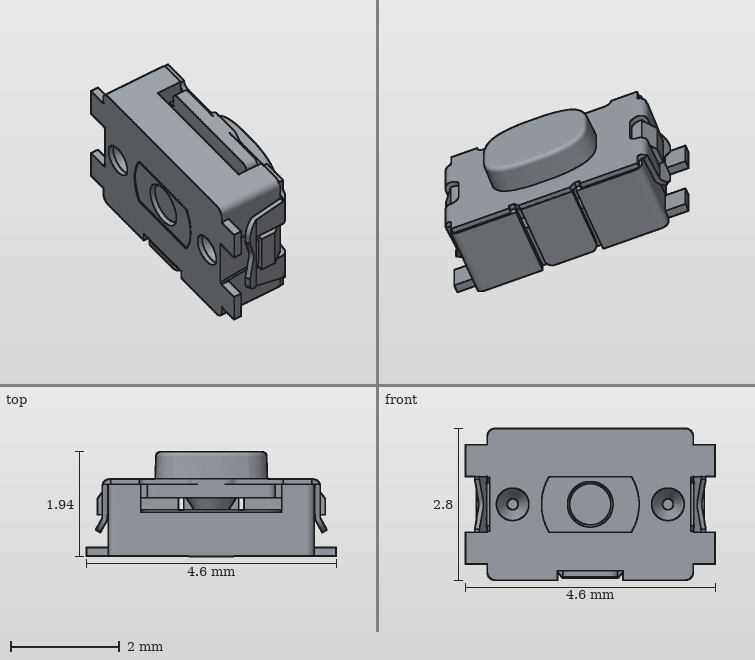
import cadquery as cq
import math


BODY_HALF_X = 1.9
BODY_HALF_Z = 1.4
BODY_DEPTH = 1.32
BODY_CORNER_RADIUS = 0.15

TERMINAL_TIP_X = 2.3
TERMINAL_INNER_Z = 0.51
TERMINAL_OUTER_Z = 1.1
TERMINAL_THICKNESS = 0.16

SIDE_RECESS_DEPTH = 0.05
SIDE_RECESS_LENGTH = 1.0
SIDE_RECESS_FRONT_Z = 0.5
SIDE_RECESS_BACK_Z = 0.4

DIMPLE_X = 1.43
DIMPLE_RADIUS = 0.3
DIMPLE_TIP_RADIUS = 0.1
DIMPLE_WALL_DEPTH = 0.1
DIMPLE_DEPTH = 0.5
PANEL_HALF_Z = 0.51
PANEL_CORNER_X = 0.76
PANEL_HALF_X = 0.9
PANEL_DEPTH = 0.02
GATE_RADIUS = 0.43
GATE_FLOOR_RADIUS = 0.38
GATE_DEPTH = 0.1

CAVITY_HALF_X = 1.3
CAVITY_FLOOR_Y = 0.805
NOTCH_HALF_X = 0.6
NOTCH_FLOOR_Z = -1.223
PLATFORM_Y = 0.85
PLATFORM_HALF_X = 1.28
PLATFORM_TOP_Z = 1.2
PLATFORM_CORNER_RADIUS = 0.32

PLUNGER_BOTTOM_Y = 1.07
PLUNGER_SHOULDER_Z = 1.0
PLUNGER_BAR_HALF_X = 1.18
STEM_TOP_RADIUS = 0.46
STEM_TIP_RADIUS = 0.32

SHEET = 0.1
COVER_BACK_Y = BODY_DEPTH + SHEET
COVER_HALF_X = 1.85
COVER_HALF_Z = 1.35
EDGE_RADIUS = 0.13
TONGUE_HALF_X = 0.26
EDGE_CUT_HALF_X = 1.33
HOOK_NOTCH_HALF_X = 0.7
HOOK_ROOT_Z = -1.25
HOOK_TIP_Z = -1.365
HOOK_TIP_HALF_X = 0.51
HOOK_FACE_HALF_X = 0.36
HOOK_FACE_Z = -1.335
HOOK_FRONT_Y = -0.016

CLIP_OUTER_X = 2.01
CLIP_INNER_X = CLIP_OUTER_X - SHEET
BEND_RADIUS = 0.14
CLIP_ROOT_HALF_Z = 0.98
CLIP_TIP_HALF_Z = 0.855
CLIP_TIP_Y = 0.7
ROOT_FILLET_RADIUS = 0.076
ROOT_HALF_Z = CLIP_ROOT_HALF_Z + 2 * ROOT_FILLET_RADIUS
WINDOW_HALF_Z = 0.41
WINDOW_BOTTOM_Y = 0.72
WINDOW_LEDGE_HALF_Z = 0.27
WINDOW_LEDGE_FOOT_HALF_Z = 0.37
WINDOW_INNER_X = 1.7
WINDOW_CORNER_RADIUS = 0.17
FLARE_ANGLE = 29
FLARE_LENGTH = 0.25
FLARE_LOBE_OUTER_Z = 0.62
FLARE_LOBE_INNER_Z = 0.46
FLARE_LOBE_MIDDLE = (0.175, 0.772)
FLARE_DIP_LENGTH = 0.094
FLARE_DIP_END = (0.104, 0.07)

LATCH_X = 2.1
LATCH_HALF_Z = 0.395
LATCH_FRONT_Y = 0.76
LATCH_RAMP_Y = 1.06

BUTTON_TOP_Y = 1.922
BUTTON_HALF_X = 1.04
BUTTON_HALF_Z = 0.8
BUTTON_FLAT_X = 0.17
BUTTON_FLAT_Z = 0.185
BUTTON_ARC_TURN = 22
BUTTON_DRAFT = 2
BUTTON_EDGE_RADIUS = 0.085


def block(x_range, y_range, z_range):
    """Box given by its lower and upper limit along each axis."""
    limits = (x_range, y_range, z_range)
    sizes = [high - low for low, high in limits]
    corner = cq.Vector(*[low for low, high in limits])
    return cq.Workplane(cq.Solid.makeBox(*sizes, corner))


def cone(x, y_start, y_end, start_radius, end_radius):
    """Cone frustum along +Y at Z = 0."""
    length = y_end - y_start
    axis_start = cq.Vector(x, y_start, 0)
    return cq.Workplane(cq.Solid.makeCone(start_radius, end_radius, length, axis_start, cq.Vector(0, 1, 0)))


def face_sketch(y):
    """Sketch plane at height y: local axes are X and Z, and a negative extrusion goes toward +Y."""
    return cq.Workplane("XZ", origin=(0, y, 0))


def both_sides(shape):
    """A +X side feature together with its mirror image on the -X side."""
    return shape.union(shape.mirror("YZ"))


def make_body():
    body = block((-BODY_HALF_X, BODY_HALF_X), (0, BODY_DEPTH), (-BODY_HALF_Z, BODY_HALF_Z))
    body = body.edges("|Y").fillet(BODY_CORNER_RADIUS)
    for bottom_z in (TERMINAL_INNER_Z, -TERMINAL_OUTER_Z):
        top_z = bottom_z + TERMINAL_OUTER_Z - TERMINAL_INNER_Z
        strip = block((-TERMINAL_TIP_X, TERMINAL_TIP_X), (0, TERMINAL_THICKNESS), (bottom_z, top_z))
        body = body.union(strip)
    return body.cut(both_sides(make_side_recess()))


def make_side_recess():
    return (
        cq.Workplane("YZ", origin=(BODY_HALF_X - SIDE_RECESS_DEPTH, 0, 0))
        .moveTo(0, -SIDE_RECESS_FRONT_Z)
        .lineTo(SIDE_RECESS_LENGTH, -SIDE_RECESS_BACK_Z)
        .lineTo(SIDE_RECESS_LENGTH, SIDE_RECESS_BACK_Z)
        .lineTo(0, SIDE_RECESS_FRONT_Z)
        .close()
        .extrude(SIDE_RECESS_DEPTH)
    )


def cut_mounting_face(body):
    panel = (
        face_sketch(0)
        .moveTo(-PANEL_CORNER_X, -PANEL_HALF_Z)
        .lineTo(PANEL_CORNER_X, -PANEL_HALF_Z)
        .threePointArc((PANEL_HALF_X, 0), (PANEL_CORNER_X, PANEL_HALF_Z))
        .lineTo(-PANEL_CORNER_X, PANEL_HALF_Z)
        .threePointArc((-PANEL_HALF_X, 0), (-PANEL_CORNER_X, -PANEL_HALF_Z))
        .close()
        .extrude(-PANEL_DEPTH)
    )
    gate = cone(0, 0, GATE_DEPTH, GATE_RADIUS, GATE_FLOOR_RADIUS)
    dimple_wall = face_sketch(0).center(DIMPLE_X, 0).circle(DIMPLE_RADIUS).extrude(-DIMPLE_WALL_DEPTH)
    dimple_tip = cone(DIMPLE_X, DIMPLE_WALL_DEPTH, DIMPLE_DEPTH, DIMPLE_RADIUS, DIMPLE_TIP_RADIUS)
    dimple = dimple_wall.union(dimple_tip)
    return body.cut(panel).cut(gate).cut(both_sides(dimple))


def cut_cavity(body):
    cavity = block(
        (-CAVITY_HALF_X, CAVITY_HALF_X), (CAVITY_FLOOR_Y, BODY_DEPTH), (NOTCH_FLOOR_Z, BODY_HALF_Z)
    )
    notch = block((-NOTCH_HALF_X, NOTCH_HALF_X), (0, BODY_DEPTH), (-BODY_HALF_Z, NOTCH_FLOOR_Z))
    platform = block(
        (-PLATFORM_HALF_X, PLATFORM_HALF_X), (CAVITY_FLOOR_Y, PLATFORM_Y), (NOTCH_FLOOR_Z, PLATFORM_TOP_Z)
    )
    platform = platform.edges("|Y and >Z").fillet(PLATFORM_CORNER_RADIUS)
    return body.cut(cavity).cut(notch).union(platform)


def make_plunger():
    plate = block(
        (-CAVITY_HALF_X, CAVITY_HALF_X), (PLUNGER_BOTTOM_Y, BODY_DEPTH), (NOTCH_FLOOR_Z, PLUNGER_SHOULDER_Z)
    )
    bar = block((-PLUNGER_BAR_HALF_X, PLUNGER_BAR_HALF_X), (PLUNGER_BOTTOM_Y, BODY_DEPTH), (0, COVER_HALF_Z))
    bar = bar.edges("|Y and >Z").fillet(EDGE_RADIUS)
    stem = cone(0, PLATFORM_Y, PLUNGER_BOTTOM_Y, STEM_TIP_RADIUS, STEM_TOP_RADIUS)
    return plate.union(bar).union(stem)


def make_cover_plate():
    """Flat cover with a central tongue and a shallow rounded cutout on each side of it on the +Z edge."""
    plate = block((-COVER_HALF_X, COVER_HALF_X), (BODY_DEPTH, COVER_BACK_Y), (-COVER_HALF_Z, COVER_HALF_Z))
    floor_z = COVER_HALF_Z - EDGE_RADIUS
    run = EDGE_RADIUS
    drop = EDGE_RADIUS / 2
    shoulder_radius = (run**2 + drop**2) / (2 * drop)
    edge_cut = (
        face_sketch(BODY_DEPTH)
        .moveTo(TONGUE_HALF_X, COVER_HALF_Z)
        .radiusArc((TONGUE_HALF_X + run, COVER_HALF_Z - drop), shoulder_radius)
        .radiusArc((TONGUE_HALF_X + 2 * run, floor_z), -shoulder_radius)
        .lineTo(EDGE_CUT_HALF_X - EDGE_RADIUS, floor_z)
        .radiusArc((EDGE_CUT_HALF_X, COVER_HALF_Z), -EDGE_RADIUS)
        .close()
        .extrude(-SHEET)
    )
    hook_notch = block(
        (-HOOK_NOTCH_HALF_X, HOOK_NOTCH_HALF_X), (BODY_DEPTH, COVER_BACK_Y), (-COVER_HALF_Z, HOOK_ROOT_Z)
    )
    return plate.cut(both_sides(edge_cut)).cut(hook_notch)


def make_hook():
    """Tongue of the cover that folds down through the -Z notch to the mounting face."""
    tongue = (
        face_sketch(BODY_DEPTH)
        .moveTo(-NOTCH_HALF_X, HOOK_ROOT_Z)
        .lineTo(-HOOK_TIP_HALF_X, HOOK_TIP_Z)
        .lineTo(HOOK_TIP_HALF_X, HOOK_TIP_Z)
        .lineTo(NOTCH_HALF_X, HOOK_ROOT_Z)
        .close()
        .extrude(-SHEET)
    )
    leg = block(
        (-HOOK_TIP_HALF_X, HOOK_TIP_HALF_X), (HOOK_FRONT_Y, COVER_BACK_Y), (HOOK_FACE_Z, NOTCH_FLOOR_Z)
    )
    leg = leg.edges("|Z and <Y").fillet(HOOK_TIP_HALF_X - HOOK_FACE_HALF_X)
    return tongue.union(leg)


def make_clip():
    """Side clip on +X: bent from the cover, windowed for the latch and flared at its tip."""
    bend_center_y = COVER_BACK_Y - BEND_RADIUS
    bend_center_x = CLIP_OUTER_X - BEND_RADIUS
    inner_radius = BEND_RADIUS - SHEET
    flare_angle = math.radians(FLARE_ANGLE)
    flare_inner_corner = (
        CLIP_OUTER_X - SHEET * math.cos(flare_angle),
        CLIP_TIP_Y - SHEET * math.sin(flare_angle),
    )
    strip = (
        cq.Workplane("XY", origin=(0, 0, -ROOT_HALF_Z))
        .moveTo(WINDOW_INNER_X, BODY_DEPTH)
        .lineTo(bend_center_x, BODY_DEPTH)
        .radiusArc((CLIP_INNER_X, bend_center_y), inner_radius)
        .lineTo(CLIP_INNER_X, CLIP_TIP_Y)
        .lineTo(*flare_inner_corner)
        .lineTo(CLIP_OUTER_X, CLIP_TIP_Y)
        .lineTo(CLIP_OUTER_X, bend_center_y)
        .radiusArc((bend_center_x, COVER_BACK_Y), -BEND_RADIUS)
        .lineTo(WINDOW_INNER_X, COVER_BACK_Y)
        .close()
        .extrude(2 * ROOT_HALF_Z)
    )
    leg_outline = (
        cq.Workplane("YZ", origin=(WINDOW_INNER_X, 0, 0))
        .moveTo(flare_inner_corner[1], -CLIP_TIP_HALF_Z)
        .lineTo(CLIP_TIP_Y, -CLIP_TIP_HALF_Z)
        .lineTo(bend_center_y, -CLIP_ROOT_HALF_Z)
        .lineTo(COVER_BACK_Y, -CLIP_ROOT_HALF_Z)
        .lineTo(COVER_BACK_Y, CLIP_ROOT_HALF_Z)
        .lineTo(bend_center_y, CLIP_ROOT_HALF_Z)
        .lineTo(CLIP_TIP_Y, CLIP_TIP_HALF_Z)
        .lineTo(flare_inner_corner[1], CLIP_TIP_HALF_Z)
        .close()
        .extrude(CLIP_OUTER_X - WINDOW_INNER_X)
    )
    root = strip.intersect(make_root_outline())
    return strip.intersect(leg_outline).union(root).union(make_flare())


def make_flare():
    """Wavy tip of the +X clip, leaning outward; local x runs down the sheet and local y along Z."""
    angle = math.radians(FLARE_ANGLE)
    middle_length, middle_z = FLARE_LOBE_MIDDLE
    dip_length, dip_z = FLARE_DIP_END
    plane = cq.Plane(
        origin=(CLIP_OUTER_X, CLIP_TIP_Y, 0),
        xDir=(math.sin(angle), -math.cos(angle), 0),
        normal=(-math.cos(angle), -math.sin(angle), 0),
    )
    return (
        cq.Workplane(plane)
        .moveTo(0, CLIP_TIP_HALF_Z)
        .threePointArc(FLARE_LOBE_MIDDLE, (FLARE_LENGTH, FLARE_LOBE_OUTER_Z))
        .lineTo(FLARE_LENGTH, FLARE_LOBE_INNER_Z)
        .lineTo(*FLARE_DIP_END)
        .threePointArc((FLARE_DIP_LENGTH, 0), (dip_length, -dip_z))
        .lineTo(FLARE_LENGTH, -FLARE_LOBE_INNER_Z)
        .lineTo(FLARE_LENGTH, -FLARE_LOBE_OUTER_Z)
        .threePointArc((middle_length, -middle_z), (0, -CLIP_TIP_HALF_Z))
        .close()
        .extrude(SHEET)
    )


def make_clip_window():
    """Opening for the latch through the +X clip and into the cover plate, with a ledge under the latch."""
    window = block(
        (WINDOW_INNER_X, CLIP_OUTER_X), (WINDOW_BOTTOM_Y, COVER_BACK_Y), (-WINDOW_HALF_Z, WINDOW_HALF_Z)
    )
    ledge = (
        cq.Workplane("YZ", origin=(WINDOW_INNER_X, 0, 0))
        .moveTo(WINDOW_BOTTOM_Y, -WINDOW_LEDGE_FOOT_HALF_Z)
        .lineTo(LATCH_FRONT_Y, -WINDOW_LEDGE_HALF_Z)
        .lineTo(LATCH_FRONT_Y, WINDOW_LEDGE_HALF_Z)
        .lineTo(WINDOW_BOTTOM_Y, WINDOW_LEDGE_FOOT_HALF_Z)
        .close()
        .extrude(CLIP_OUTER_X - WINDOW_INNER_X)
    )
    return window.edges("|Y and <X").fillet(WINDOW_CORNER_RADIUS).cut(ledge)


def make_root_outline():
    """Outline above the +X bend: an S-shaped flank leads from the cover edge to each side of the clip."""
    middle_x = COVER_HALF_X + ROOT_FILLET_RADIUS
    end_x = middle_x + ROOT_FILLET_RADIUS
    middle_z = CLIP_ROOT_HALF_Z + ROOT_FILLET_RADIUS
    return (
        face_sketch(BODY_DEPTH)
        .moveTo(WINDOW_INNER_X, -ROOT_HALF_Z)
        .lineTo(COVER_HALF_X, -ROOT_HALF_Z)
        .radiusArc((middle_x, -middle_z), ROOT_FILLET_RADIUS)
        .radiusArc((end_x, -CLIP_ROOT_HALF_Z), -ROOT_FILLET_RADIUS)
        .lineTo(CLIP_OUTER_X, -CLIP_ROOT_HALF_Z)
        .lineTo(CLIP_OUTER_X, CLIP_ROOT_HALF_Z)
        .lineTo(end_x, CLIP_ROOT_HALF_Z)
        .radiusArc((middle_x, middle_z), -ROOT_FILLET_RADIUS)
        .radiusArc((COVER_HALF_X, ROOT_HALF_Z), ROOT_FILLET_RADIUS)
        .lineTo(WINDOW_INNER_X, ROOT_HALF_Z)
        .close()
        .extrude(-SHEET)
    )


def make_latch():
    """Latch on +X with a ramp that runs out at the cover."""
    return (
        cq.Workplane("XY", origin=(0, 0, -LATCH_HALF_Z))
        .moveTo(BODY_HALF_X - SIDE_RECESS_DEPTH, LATCH_FRONT_Y)
        .lineTo(LATCH_X, LATCH_FRONT_Y)
        .lineTo(LATCH_X, LATCH_RAMP_Y)
        .lineTo(BODY_HALF_X, BODY_DEPTH)
        .lineTo(BODY_HALF_X - SIDE_RECESS_DEPTH, BODY_DEPTH)
        .close()
        .extrude(2 * LATCH_HALF_Z)
    )


def make_button():
    """Drafted button whose flat sides are joined by two tangent arcs at each corner."""
    run_x = BUTTON_HALF_X - BUTTON_FLAT_X
    run_z = BUTTON_HALF_Z - BUTTON_FLAT_Z
    turn = math.radians(BUTTON_ARC_TURN)
    end_chord_angle = turn / 2 + math.pi / 4
    first_chord = run_x * math.sin(end_chord_angle) - run_z * math.cos(end_chord_angle)
    first_chord /= math.sin(math.pi / 4)
    join_x = BUTTON_FLAT_X + first_chord * math.cos(turn / 2)
    join_z = BUTTON_HALF_Z - first_chord * math.sin(turn / 2)
    button = (
        face_sketch(BODY_DEPTH)
        .moveTo(-BUTTON_HALF_X, -BUTTON_FLAT_Z)
        .lineTo(-BUTTON_HALF_X, BUTTON_FLAT_Z)
        .tangentArcPoint((-join_x, join_z), relative=False)
        .tangentArcPoint((-BUTTON_FLAT_X, BUTTON_HALF_Z), relative=False)
        .lineTo(BUTTON_FLAT_X, BUTTON_HALF_Z)
        .tangentArcPoint((join_x, join_z), relative=False)
        .tangentArcPoint((BUTTON_HALF_X, BUTTON_FLAT_Z), relative=False)
        .lineTo(BUTTON_HALF_X, -BUTTON_FLAT_Z)
        .tangentArcPoint((join_x, -join_z), relative=False)
        .tangentArcPoint((BUTTON_FLAT_X, -BUTTON_HALF_Z), relative=False)
        .lineTo(-BUTTON_FLAT_X, -BUTTON_HALF_Z)
        .tangentArcPoint((-join_x, -join_z), relative=False)
        .tangentArcPoint((-BUTTON_HALF_X, -BUTTON_FLAT_Z), relative=False)
        .close()
        .extrude(BODY_DEPTH - BUTTON_TOP_Y, taper=BUTTON_DRAFT)
    )
    return button.faces(">Y").edges().fillet(BUTTON_EDGE_RADIUS)


body = cut_cavity(cut_mounting_face(make_body()))
cover = make_cover_plate().union(both_sides(make_clip()))
cover = cover.cut(both_sides(make_clip_window())).union(make_hook())

result = body.union(make_plunger()).union(cover).union(both_sides(make_latch())).union(make_button())